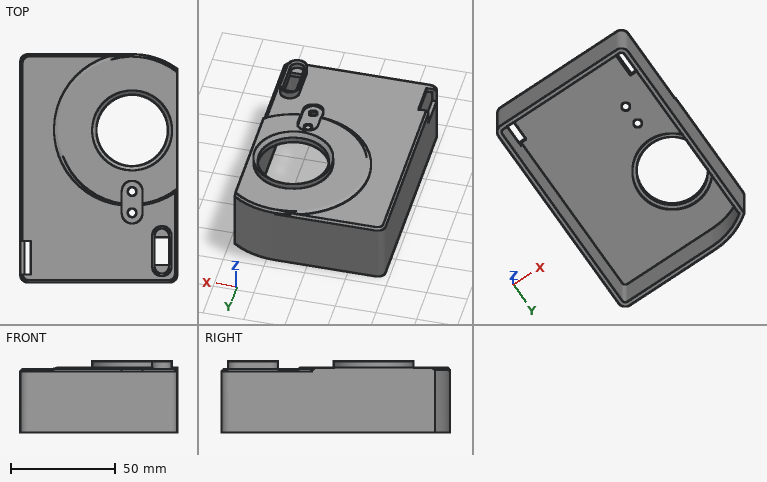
import cadquery as cq

length_x = 75.0
length_y = 109.0
box_height = 30.2
wall = 2.2
corner_radius = 3.9
edge_chamfer = 1.2
lid_underside = box_height - wall

dial_x = 53.4
dial_y = 72.6
dial_radius = length_y - dial_y
dial_top = 31.0

skirt_x = dial_x - 0.9
skirt_y = dial_y + 0.4
skirt_shoulder = 30.4
skirt_bevel_width = 1.9

rim_top = 34.0
dial_rim_diameter = 38.2
dial_hole_diameter = 34.0
dial_rim_bevel = (dial_rim_diameter - dial_hole_diameter) / 2
dial_recess_ceiling = 29.0

slot_x = 67.6
slot_y = 15.0
slot_rim_length = 23.9
slot_rim_width = 9.3
slot_rim_bevel = 1.2
slot_length = slot_rim_length - 2 * slot_rim_bevel
slot_width = slot_rim_width - 2 * slot_rim_bevel
switch_opening_length = 13.1

plate_x = dial_x
plate_y = 38.4
plate_length = 20.4
plate_width = 9.9
plate_floor = 29.0
screw_hole_diameter = 4.0
screw_hole_pitch = 10.1

window_start_y = 3.9
window_length = 15.9
window_sill = 23.0
window_reach = 5.0


def place(x, y, z):
    """Horizontal workplane centred on a point measured from the box's front left bottom corner."""
    return cq.Workplane("XY", origin=(x, y, z))


def cylinder(x, y, radius, bottom, top):
    return place(x, y, bottom).circle(radius).extrude(top - bottom)


def stadium(x, y, size_x, size_y, bottom, top):
    """Upright prism with round ends, longer along Y."""
    return place(x, y, bottom).slot2D(size_y, size_x, 90).extrude(top - bottom)


def block(x_range, y_range, bottom, top):
    size_x = x_range[1] - x_range[0]
    size_y = y_range[1] - y_range[0]
    corner = place(x_range[0], y_range[0], bottom)
    return corner.rect(size_x, size_y, centered=False).extrude(top - bottom)


def box_block(inset, height):
    """Solid block with three rounded corners; the back right corner follows the dial."""
    x_range = (inset, length_x - inset)
    y_range = (inset, length_y - inset)
    body = block(x_range, y_range, 0, height)
    body = body.edges("|Z and (<X or <Y)").fillet(corner_radius - inset)
    back_right_corner = block((dial_x, length_x), (dial_y, length_y), 0, height)
    dial_quarter = cylinder(dial_x, dial_y, dial_radius - inset, 0, height)
    return body.cut(back_right_corner.cut(dial_quarter))


def dial_plateau():
    """Bevelled disc rising through the lid, trimmed to the outline of the box."""
    disc = cylinder(dial_x, dial_y, dial_radius, lid_underside, dial_top)
    return disc.faces(">Z").chamfer(edge_chamfer).intersect(box_block(0, dial_top))


def dial_skirt():
    """Off-centre step whose shallow bevel runs up to the height of the plateau."""
    step = cylinder(skirt_x, skirt_y, dial_radius, lid_underside, skirt_shoulder)
    bevel = (
        place(skirt_x, skirt_y, skirt_shoulder)
        .circle(dial_radius)
        .workplane(offset=dial_top - skirt_shoulder)
        .circle(dial_radius - skirt_bevel_width)
        .loft()
    )
    return step.union(bevel).intersect(box_block(edge_chamfer, dial_top))


def dial_hole():
    """Through hole that flares to the rim at the top and to a shallow recess under the lid."""
    hole = cylinder(dial_x, dial_y, dial_hole_diameter / 2, 0, rim_top)
    recess = cylinder(dial_x, dial_y, dial_rim_diameter / 2, 0, dial_recess_ceiling)
    flare = (
        place(dial_x, dial_y, rim_top)
        .circle(dial_rim_diameter / 2)
        .workplane(offset=-dial_rim_bevel)
        .circle(dial_hole_diameter / 2)
        .loft()
    )
    return hole.union(recess).union(flare)


def switch_slot():
    """Bevelled slot down to the lid, over a rectangular opening through the lid."""
    pocket = stadium(slot_x, slot_y, slot_width, slot_length, box_height, rim_top)
    flare = (
        place(slot_x, slot_y, rim_top)
        .slot2D(slot_rim_length, slot_rim_width, 90)
        .workplane(offset=-slot_rim_bevel)
        .slot2D(slot_length, slot_width, 90)
        .loft()
    )
    opening = place(slot_x, slot_y, 0).rect(slot_width, switch_opening_length).extrude(rim_top)
    return pocket.union(flare).union(opening)


def screw_plate():
    """Sunken stadium with two screw holes through its floor."""
    pocket = stadium(plate_x, plate_y, plate_width, plate_length, plate_floor, dial_top)
    for side in (-1, 1):
        hole_y = plate_y + side * screw_hole_pitch / 2
        pocket = pocket.union(cylinder(plate_x, hole_y, screw_hole_diameter / 2, 0, dial_top))
    return pocket


def window():
    """Notch through the left wall, open at the top of the lid."""
    y_range = (window_start_y, window_start_y + window_length)
    return block((0, window_reach), y_range, window_sill, box_height)


box = box_block(0, box_height).faces(">Z").chamfer(edge_chamfer)
outer = box.union(dial_skirt()).union(dial_plateau())
shell = outer.cut(box_block(wall, lid_underside))

dial_rim = cylinder(dial_x, dial_y, dial_rim_diameter / 2, box_height, rim_top)
slot_rim = stadium(slot_x, slot_y, slot_rim_width, slot_rim_length, box_height, rim_top)

result = shell.union(dial_rim).union(slot_rim)
for cutter in (dial_hole(), switch_slot(), screw_plate(), window()):
    result = result.cut(cutter)